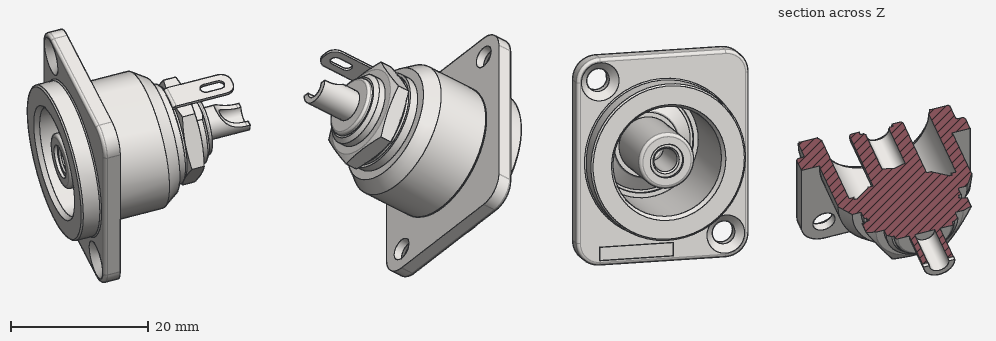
import cadquery as cq
import math


FLANGE_WIDTH = 26.0
FLANGE_HEIGHT = 31.0
FLANGE_THICKNESS = 2.5
FLANGE_CORNER_RADIUS = 3.5
FLANGE_EDGE_FILLET = 0.5
SCREW_X = 9.5
SCREW_Z = 12.0
SCREW_DIAMETER = 3.4
COUNTERSINK_DIAMETER = 5.7
COUNTERSINK_ANGLE = 90.0
LABEL_WIDTH = 11.1
LABEL_HEIGHT = 2.0
LABEL_DEPTH = 0.2
LABEL_X = -4.0
LABEL_Z = -13.75

COLLAR_DIAMETER = 23.4
COLLAR_LENGTH = 3.0
COLLAR_CHAMFER = 0.25
COLLAR_FOOT = 0.2

BODY_DIAMETER = 20.6
BODY_RELIEF = 0.1
BODY_RELIEF_LENGTH = 0.2
TAPER_START_Y = 11.1
TAPER_END_Y = 13.25
TAPER_END_DIAMETER = 17.7
WASHER_DIAMETER = 15.0
WASHER_END_Y = 14.6

LUG_THICKNESS = 0.4
LUG_RING_DIAMETER = 14.2
LUG_WIDTH = 4.0
LUG_BEND_RADIUS = 0.6
LUG_TIP_Y = 24.55
LUG_TIP_RADIUS = 1.6
LUG_SLOT_WIDTH = 1.65
LUG_SLOT_START_Y = 19.65
LUG_SLOT_END_Y = 23.35

NUT_ACROSS_FLATS = 14.0
NUT_THICKNESS = 2.7
NUT_BEVEL_DEPTH = 0.4
NUT_FACE_DIAMETER = 13.4

BUSHING_DIAMETER = 11.0
BUSHING_END_Y = 19.3
BUSHING_CHAMFER_LENGTH = 0.5
BUSHING_CHAMFER_DEPTH = 0.7
BUSHING_FLAT_Z = 4.5
DISC_DIAMETER = 9.0
DISC_END_Y = 20.0
DISC_REAR_FILLET = 0.4

CUP_DIAMETER = 4.8
CUP_BORE_DIAMETER = 3.0
CUP_END_Y = 26.5
CUP_FLAT_LENGTH = 0.5
CUP_CUT_RADIUS = 4.5

MOUTH_DIAMETER = 17.3
MOUTH_TAPER_LENGTH = 0.75
RECESS_DIAMETER = 16.4
RECESS_FLOOR_Y = 10.0
FLOOR_STEP_DIAMETER = 15.0
FLOOR_STEP_DEPTH = 0.4
CONE_BASE_DIAMETER = 14.2
CONE_TOP_DIAMETER = 10.0
CONE_TOP_Y = 8.9
CONE_RIM_DIAMETER = 9.7

CONTACT_DIAMETER = 8.3
CONTACT_FRONT_Y = -2.1
CONTACT_FILLET = 0.5
CONTACT_STEP_DIAMETER = 5.0
CONTACT_STEP_DEPTH = 0.5
CONTACT_MOUTH_DIAMETER = 4.0
CONTACT_MOUTH_LENGTH = 0.3
CONTACT_BORE_DIAMETER = 3.5
CONTACT_BORE_END_Y = 6.0
CONTACT_POINT_DIAMETER = 3.0
CONTACT_POINT_ANGLE = 150.0

LUG_REAR_Y = WASHER_END_Y + LUG_THICKNESS
NUT_REAR_Y = LUG_REAR_Y + NUT_THICKNESS
LUG_TOP_Z = NUT_ACROSS_FLATS / 2 + LUG_THICKNESS


def revolve_about_y(points):
    """Revolve a profile of (diameter, y) points around the socket axis."""
    profile = [(diameter / 2, y) for diameter, y in points]
    return cq.Workplane("XY").polyline(profile).close().revolve(360, (0, 0), (0, 1))


def rod(diameter, start_y, end_y):
    return revolve_about_y([(0, start_y), (diameter, start_y), (diameter, end_y), (0, end_y)])


def make_flange():
    flange = (
        cq.Workplane("XZ")
        .rect(FLANGE_WIDTH, FLANGE_HEIGHT)
        .extrude(-FLANGE_THICKNESS)
        .edges("|Y")
        .fillet(FLANGE_CORNER_RADIUS)
        .faces("<Y")
        .edges()
        .fillet(FLANGE_EDGE_FILLET)
    )
    sink_half_angle = math.radians(COUNTERSINK_ANGLE / 2)
    sink_depth = (COUNTERSINK_DIAMETER - SCREW_DIAMETER) / 2 / math.tan(sink_half_angle)
    screw_hole = revolve_about_y([
        (0, 0),
        (COUNTERSINK_DIAMETER, 0),
        (SCREW_DIAMETER, sink_depth),
        (SCREW_DIAMETER, FLANGE_THICKNESS),
        (0, FLANGE_THICKNESS),
    ])
    for side in (-1, 1):
        flange = flange.cut(screw_hole.translate((side * SCREW_X, 0, -side * SCREW_Z)))
    label_recess = (
        cq.Workplane("XZ")
        .center(LABEL_X, LABEL_Z)
        .rect(LABEL_WIDTH, LABEL_HEIGHT)
        .extrude(-LABEL_DEPTH)
    )
    return flange.cut(label_recess)


def make_body():
    relief_diameter = BODY_DIAMETER - 2 * BODY_RELIEF
    relief_end_y = FLANGE_THICKNESS + BODY_RELIEF_LENGTH
    return revolve_about_y([
        (0, -COLLAR_LENGTH),
        (COLLAR_DIAMETER - 2 * COLLAR_CHAMFER, -COLLAR_LENGTH),
        (COLLAR_DIAMETER, -COLLAR_LENGTH + COLLAR_CHAMFER),
        (COLLAR_DIAMETER, -COLLAR_FOOT),
        (COLLAR_DIAMETER + 2 * COLLAR_FOOT, 0),
        (relief_diameter, 0),
        (relief_diameter, relief_end_y),
        (BODY_DIAMETER, relief_end_y),
        (BODY_DIAMETER, TAPER_START_Y),
        (TAPER_END_DIAMETER, TAPER_END_Y),
        (WASHER_DIAMETER, TAPER_END_Y),
        (WASHER_DIAMETER, WASHER_END_Y),
        (0, WASHER_END_Y),
    ])


def make_recess():
    """Space between the collar and the centre contact, with a cone rising from its floor."""
    step_floor_y = RECESS_FLOOR_Y + FLOOR_STEP_DEPTH
    rim_depth = (CONE_TOP_DIAMETER - CONE_RIM_DIAMETER) / 2
    return revolve_about_y([
        (0, -COLLAR_LENGTH),
        (MOUTH_DIAMETER, -COLLAR_LENGTH),
        (RECESS_DIAMETER, -COLLAR_LENGTH + MOUTH_TAPER_LENGTH),
        (RECESS_DIAMETER, RECESS_FLOOR_Y),
        (FLOOR_STEP_DIAMETER, RECESS_FLOOR_Y),
        (FLOOR_STEP_DIAMETER, step_floor_y),
        (CONE_BASE_DIAMETER, step_floor_y),
        (CONE_TOP_DIAMETER, CONE_TOP_Y),
        (CONE_RIM_DIAMETER, CONE_TOP_Y - rim_depth),
        (0, CONE_TOP_Y - rim_depth),
    ])


def make_contact():
    contact = rod(CONTACT_DIAMETER, CONTACT_FRONT_Y, RECESS_FLOOR_Y)
    contact = contact.faces("<Y").edges().fillet(CONTACT_FILLET)
    step_y = CONTACT_FRONT_Y + CONTACT_STEP_DEPTH
    mouth_end_y = step_y + CONTACT_MOUTH_LENGTH
    point_length = CONTACT_POINT_DIAMETER / 2 / math.tan(math.radians(CONTACT_POINT_ANGLE / 2))
    bore = revolve_about_y([
        (0, CONTACT_FRONT_Y),
        (CONTACT_STEP_DIAMETER, CONTACT_FRONT_Y),
        (CONTACT_STEP_DIAMETER, step_y),
        (CONTACT_MOUTH_DIAMETER, step_y),
        (CONTACT_BORE_DIAMETER, mouth_end_y),
        (CONTACT_BORE_DIAMETER, CONTACT_BORE_END_Y),
        (CONTACT_POINT_DIAMETER, CONTACT_BORE_END_Y),
        (0, CONTACT_BORE_END_Y + point_length),
    ])
    return contact.cut(bore)


def make_lug():
    """Ring under the nut with a tab bent back over the nut's top flat."""
    ring = rod(LUG_RING_DIAMETER, WASHER_END_Y, LUG_REAR_Y)
    tab_length = LUG_TIP_Y - WASHER_END_Y
    tab = (
        cq.Workplane("XY", origin=(0, WASHER_END_Y + tab_length / 2, LUG_TOP_Z - LUG_THICKNESS))
        .rect(LUG_WIDTH, tab_length)
        .extrude(LUG_THICKNESS)
        .faces(">Y")
        .edges("|Z")
        .fillet(LUG_TIP_RADIUS)
    )
    root_height = LUG_TOP_Z - BUSHING_DIAMETER / 2
    root = (
        cq.Workplane("XY")
        .box(LUG_WIDTH, LUG_THICKNESS, root_height, centered=(True, False, False))
        .translate((0, WASHER_END_Y, LUG_TOP_Z - root_height))
    )
    bent = tab.union(root).edges(">Z and <Y").fillet(LUG_BEND_RADIUS)
    slot = (
        cq.Workplane("XY", origin=(0, (LUG_SLOT_START_Y + LUG_SLOT_END_Y) / 2, LUG_TOP_Z))
        .slot2D(LUG_SLOT_END_Y - LUG_SLOT_START_Y, LUG_SLOT_WIDTH, 90)
        .extrude(-LUG_THICKNESS)
    )
    return ring.union(bent.cut(slot))


def make_nut():
    across_corners = NUT_ACROSS_FLATS / math.cos(math.pi / 6)
    hexagon = (
        cq.Workplane("XZ", origin=(0, LUG_REAR_Y, 0))
        .polygon(6, across_corners)
        .extrude(-NUT_THICKNESS)
    )
    bevelled = revolve_about_y([
        (0, LUG_REAR_Y),
        (NUT_FACE_DIAMETER, LUG_REAR_Y),
        (across_corners, LUG_REAR_Y + NUT_BEVEL_DEPTH),
        (across_corners, NUT_REAR_Y - NUT_BEVEL_DEPTH),
        (NUT_FACE_DIAMETER, NUT_REAR_Y),
        (0, NUT_REAR_Y),
    ])
    return hexagon.intersect(bevelled)


def make_bushing():
    bushing = revolve_about_y([
        (0, WASHER_END_Y),
        (BUSHING_DIAMETER, WASHER_END_Y),
        (BUSHING_DIAMETER, BUSHING_END_Y - BUSHING_CHAMFER_LENGTH),
        (BUSHING_DIAMETER - 2 * BUSHING_CHAMFER_DEPTH, BUSHING_END_Y),
        (0, BUSHING_END_Y),
    ])
    above_flat = (
        cq.Workplane("XY", origin=(0, BUSHING_END_Y, BUSHING_FLAT_Z))
        .rect(BUSHING_DIAMETER, 2 * (BUSHING_END_Y - NUT_REAR_Y))
        .extrude(BUSHING_DIAMETER)
    )
    disc = rod(DISC_DIAMETER, BUSHING_END_Y, DISC_END_Y)
    disc = disc.faces(">Y").edges().fillet(DISC_REAR_FILLET)
    return bushing.cut(above_flat).union(disc)


def make_solder_cup():
    """Tube whose upper half is cut away at the tip, with a curved run-out to full height."""
    cup = rod(CUP_DIAMETER, BUSHING_END_Y, CUP_END_Y)
    cup = cup.cut(rod(CUP_BORE_DIAMETER, DISC_END_Y, CUP_END_Y))
    arc_end_y = CUP_END_Y - CUP_FLAT_LENGTH
    diagonal = math.sqrt(0.5) * CUP_CUT_RADIUS
    opening = (
        cq.Workplane("YZ")
        .moveTo(CUP_END_Y, 0)
        .lineTo(arc_end_y, 0)
        .threePointArc(
            (arc_end_y - diagonal, CUP_CUT_RADIUS - diagonal),
            (arc_end_y - CUP_CUT_RADIUS, CUP_CUT_RADIUS),
        )
        .lineTo(CUP_END_Y, CUP_CUT_RADIUS)
        .close()
        .extrude(CUP_DIAMETER, both=True)
    )
    return cup.cut(opening)


shell = make_flange().union(make_body()).cut(make_recess())
rear_parts = make_lug().union(make_nut()).union(make_bushing()).union(make_solder_cup())
result = shell.union(rear_parts).union(make_contact())